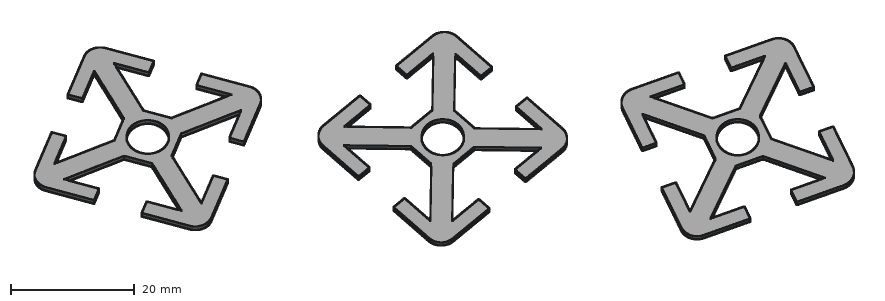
import cadquery as cq

side = 30.0
thickness = 1.0
corner_radius = 2.75
slot_opening = 8.1
lip_thickness = 2.5
hub_width = 9.78
bore_diameter = 6.85
arm_offset = 2.52

half_side = side / 2
half_opening = slot_opening / 2
lip_inner = half_side - lip_thickness
hub_flat = hub_width / 2
slot_count = 4


def slot_cutter():
    """Slot on the +Y side: straight mouth, then a trapezoid narrowing to the hub flat."""
    half_wide = lip_inner - arm_offset
    half_narrow = hub_flat - arm_offset
    return (
        cq.Workplane("XY")
        .moveTo(-half_opening, half_side)
        .lineTo(-half_opening, lip_inner)
        .lineTo(-half_wide, lip_inner)
        .lineTo(-half_narrow, hub_flat)
        .lineTo(half_narrow, hub_flat)
        .lineTo(half_wide, lip_inner)
        .lineTo(half_opening, lip_inner)
        .lineTo(half_opening, half_side)
        .close()
        .extrude(thickness)
    )


plate = cq.Workplane("XY").rect(side, side).extrude(thickness)
plate = plate.edges("|Z").fillet(corner_radius)

for index in range(slot_count):
    angle = index * 360 / slot_count
    plate = plate.cut(slot_cutter().rotate((0, 0, 0), (0, 0, 1), angle))

result = plate.faces(">Z").workplane(origin=(0, 0, thickness)).hole(bore_diameter)